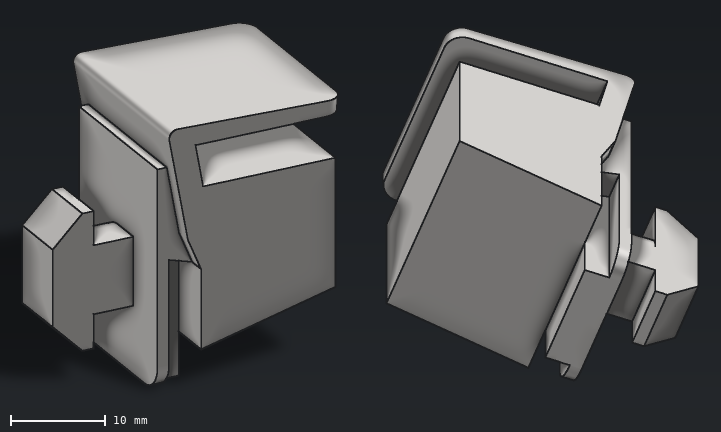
import cadquery as cq


body_width = 22.0
body_back = 20.1
body_top = 23.98
body_bottom_back = 8.97
body_bottom_front = 5.1
body_front = 4.13
body_step_top = 14.45
wall_bend_y = 2.55
wall_bend_z = 18.15
wall_root_y = 4.38
wall_inner_top_y = 3.47

flange_underside = 28.95
flange_back = 21.2
flange_back_lower_y = 21.07
flange_back_top = 30.7
flange_front_y = 0.15
flange_front_top = 31.3
flange_front_radius = 0.97
flange_corner_radius = 2.05

plate_width = 17.95
plate_thickness = 1.38
plate_top = 26.05
plate_corner_radius = 3.03
web_bottom_front = 15.25
spacer_width = plate_width - 2 * plate_corner_radius

latch_width = 7.0
latch_center_z = 12.0
stem_height = 8.0
stem_length = 4.72
stem_corner_radius = latch_width / 2
head_height = 15.95
head_front_height = 9.03
head_rim_thickness = 1.35
head_front = -9.6


def side_extrusion(points, width):
    """Extrude a closed (Y, Z) outline, centered on X = 0."""
    return cq.Workplane("YZ").polyline(points).close().extrude(width / 2, both=True)


def make_body():
    body = side_extrusion(
        [
            (body_front, body_bottom_front),
            (body_front, body_step_top),
            (wall_bend_y, wall_bend_z),
            (flange_front_y, flange_front_top),
            (flange_back, flange_back_top),
            (flange_back_lower_y, flange_underside),
            (wall_inner_top_y, flange_underside),
            (wall_root_y, body_top),
            (body_back, body_top),
            (body_back, body_bottom_back),
        ],
        body_width,
    )
    body = body.edges("|X").edges(">Z").fillet(flange_front_radius)
    back_corners = body.faces(">Y").edges("not |X")
    return back_corners.fillet(flange_corner_radius)


def make_plate():
    plate = cq.Workplane("XY").box(
        plate_width, plate_thickness, plate_top, centered=(True, False, False)
    )
    return plate.edges("|Y and <Z").fillet(plate_corner_radius)


def make_web():
    """Fill the gap between the plate and the leaning wall."""
    wall_slope = (wall_bend_y - flange_front_y) / (flange_front_top - wall_bend_z)
    wall_y_at_plate_top = wall_bend_y - wall_slope * (plate_top - wall_bend_z)
    return side_extrusion(
        [
            (0, web_bottom_front),
            (plate_thickness, web_bottom_front),
            (body_front, body_step_top),
            (wall_bend_y, wall_bend_z),
            (wall_y_at_plate_top, plate_top),
            (0, plate_top),
        ],
        plate_width,
    )


def make_spacer():
    """Narrow block between the body and the lower part of the plate."""
    return side_extrusion(
        [
            (0, 0),
            (body_front, 0),
            (body_front, body_step_top),
            (plate_thickness, web_bottom_front),
            (0, web_bottom_front),
        ],
        spacer_width,
    )


def make_latch():
    stem = (
        cq.Workplane("XY")
        .box(latch_width, stem_length, stem_height)
        .edges("|Y and <X and >Z")
        .fillet(stem_corner_radius)
        .translate((0, -stem_length / 2, latch_center_z))
    )
    rim_front = -stem_length - head_rim_thickness
    head = side_extrusion(
        [
            (-stem_length, latch_center_z - head_height / 2),
            (rim_front, latch_center_z - head_height / 2),
            (head_front, latch_center_z - head_front_height / 2),
            (head_front, latch_center_z + head_front_height / 2),
            (rim_front, latch_center_z + head_height / 2),
            (-stem_length, latch_center_z + head_height / 2),
        ],
        latch_width,
    )
    return stem.union(head)


result = make_body().union(make_web()).union(make_spacer()).union(make_plate()).union(make_latch())